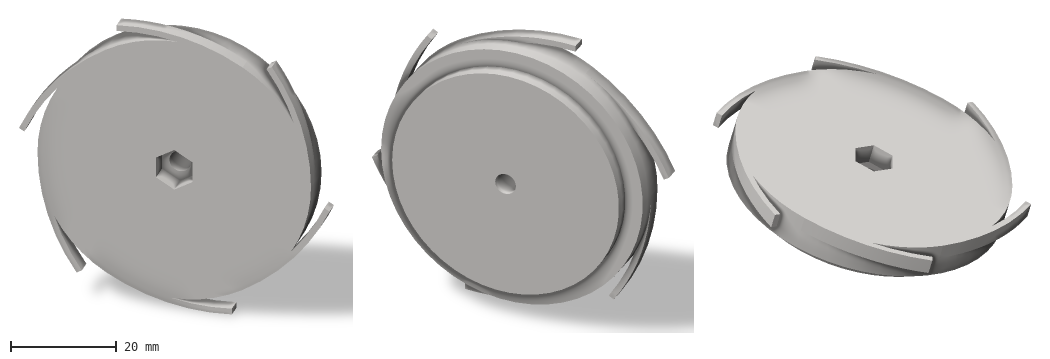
import math

import cadquery as cq

disc_radius = 27.0
disc_thickness = 7.0
step_radius = 23.4
step_thickness = 3.0
total_thickness = disc_thickness + step_thickness

fin_count = 6
fin_height = 3.0
fin_thickness = 1.2
fin_outer_radius = 42.0
fin_inner_radius = fin_outer_radius - fin_thickness
fin_tangent_angle = 60.0
fin_tip_x = -11.38

bore_diameter = 4.25
nut_across_flats = 7.2
nut_sides = 6
nut_across_corners = nut_across_flats / math.cos(math.pi / nut_sides)
nut_depth = 4.0


def front_plane():
    """Plane on the front face: local x is X, local y is Z (its normal points to -Y)."""
    return cq.Workplane("XZ")


def cylinder(radius, length):
    """Cylinder on the wheel axis, growing from the front face towards +Y."""
    return front_plane().circle(radius).extrude(-length)


def make_fin():
    """One blade between two concentric arcs, ending in a flat tip parallel to Z."""
    centre_distance = fin_outer_radius - disc_radius
    tangent = math.radians(fin_tangent_angle)
    centre_x = -centre_distance * math.cos(tangent)
    centre_z = -centre_distance * math.sin(tangent)

    def arc_point(radius, angle):
        return (centre_x + radius * math.cos(angle), centre_z + radius * math.sin(angle))

    def tip_angle(radius):
        return math.acos((fin_tip_x - centre_x) / radius)

    outer_tip = tip_angle(fin_outer_radius)
    inner_tip = tip_angle(fin_inner_radius)
    return (
        front_plane()
        .moveTo(*arc_point(fin_outer_radius, tangent))
        .threePointArc(
            arc_point(fin_outer_radius, (tangent + outer_tip) / 2),
            arc_point(fin_outer_radius, outer_tip),
        )
        .lineTo(*arc_point(fin_inner_radius, inner_tip))
        .threePointArc(
            arc_point(fin_inner_radius, (tangent + inner_tip) / 2),
            arc_point(fin_inner_radius, tangent),
        )
        .close()
        .extrude(-fin_height)
    )


def make_nut_pocket():
    """Hexagonal prism with two corners pointing along Z."""
    return (
        front_plane()
        .transformed(rotate=(0, 0, 90))
        .polygon(nut_sides, nut_across_corners)
        .extrude(-nut_depth)
    )


body = cylinder(disc_radius, disc_thickness).union(cylinder(step_radius, total_thickness))

fin = make_fin()
for index in range(fin_count):
    body = body.union(fin.rotate((0, 0, 0), (0, 1, 0), index * 360 / fin_count))

bore = cylinder(bore_diameter / 2, total_thickness)
result = body.cut(bore).cut(make_nut_pocket())